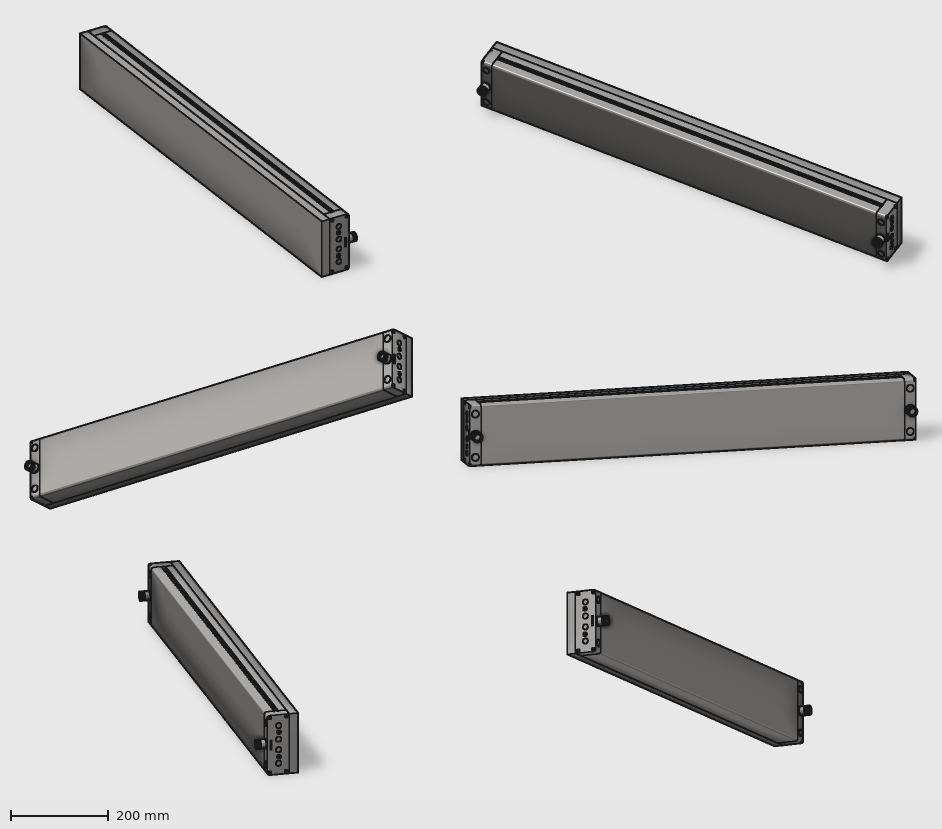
import cadquery as cq

length = 946.0
height = 130.0
mid_height = height / 2

panel_depth = 19.0

rear_face = 65.4
body_depth = rear_face - panel_depth
rear_edge_radius = 5.5

slot_width = 8.0
slot_centre = 40.0
lip_depth = 3.0
chamber_width = 14.0
chamber_depth = 6.0

cap_width = 24.0
profile_length = length - 2 * cap_width

connector_end = 86.2
connector_diameter = 20.0
base_ring_diameter = 20.6
base_ring_depth = 2.0
collar_length = 8.2
groove_count = 3
groove_width = 1.2
groove_depth = 0.6
bore_diameter = 14.0
bore_depth = 6.0

foot_diameter = 15.0
foot_depth = 1.5
foot_offset = 45.5

screw_front = 25.0
screw_rear = 60.0
screw_offset = 60.0
screw_head_diameter = 6.5
screw_head_depth = 3.0
screw_bore_diameter = 3.5
screw_bore_depth = 10.0

recess_line = 41.5
recess_depth = 1.0
recess_diameter = 11.5
outer_recess_offset = 41.0
inner_recess_offset = 11.4
pilot_line = 40.7
pilot_offset = 27.0
pilot_diameter = 8.5
pilot_bore_diameter = 4.0
pilot_bore_depth = 4.0

window_line = 57.5
window_width = 2.5
window_height = 20.0
window_depth = 1.0


def rear_block(start, width):
    """Block behind the panel with rounded top and bottom rear edges."""
    block = cq.Workplane("XY").box(width, body_depth, height, centered=False)
    block = block.edges("|X and >Y").fillet(rear_edge_radius)
    return block.translate((start, panel_depth, 0))


def rod_along_x(diameter, depth, y, z):
    """Rod from the plane X = 0 into the cap."""
    return cq.Workplane("YZ").center(y, z).circle(diameter / 2).extrude(depth)


def rod_along_y(diameter, start, end, z):
    """Rod running backwards on the middle of the cap."""
    rod = cq.Workplane("XZ").center(cap_width / 2, z).circle(diameter / 2).extrude(start - end)
    return rod.translate((0, start, 0))


def make_panel():
    """Plain slab across the whole front."""
    return cq.Workplane("XY").box(length, panel_depth, height, centered=False)


def make_profile():
    """Long body between the caps, with a T-slot along its top."""
    profile = rear_block(cap_width, profile_length)
    slot_plane = cq.Workplane("XY", origin=(length / 2, slot_centre, height))
    mouth = slot_plane.rect(profile_length, slot_width).extrude(-lip_depth)
    chamber = slot_plane.workplane(offset=-lip_depth).rect(profile_length, chamber_width).extrude(-chamber_depth)
    return profile.cut(mouth).cut(chamber)


def make_connector():
    """Round connector with a base ring, a grooved collar and an open end."""
    connector = rod_along_y(connector_diameter, rear_face, connector_end, mid_height)
    connector = connector.union(
        rod_along_y(base_ring_diameter, rear_face, rear_face + base_ring_depth, mid_height)
    )
    pitch = collar_length / groove_count
    for index in range(groove_count):
        start = connector_end - collar_length + index * pitch
        groove = rod_along_y(connector_diameter, start, start + groove_width, mid_height)
        core = rod_along_y(connector_diameter - 2 * groove_depth, start, start + groove_width, mid_height)
        connector = connector.cut(groove.cut(core))
    return connector.cut(rod_along_y(bore_diameter, connector_end - bore_depth, connector_end, mid_height))


def make_feet():
    """Two round feet, above and below the connector."""
    upper = rod_along_y(foot_diameter, rear_face, rear_face + foot_depth, mid_height + foot_offset)
    lower = rod_along_y(foot_diameter, rear_face, rear_face + foot_depth, mid_height - foot_offset)
    return upper, lower


def stepped_hole(wide_diameter, wide_depth, bore_size, bore_length, y, z):
    """Cutter for a shallow round recess with a narrower, deeper hole at its centre."""
    wide = rod_along_x(wide_diameter, wide_depth, y, z)
    return wide.union(rod_along_x(bore_size, bore_length, y, z))


def end_face_cutters():
    """Cutters for every hole and recess in the end face, in pairs about the middle height."""
    window = cq.Workplane("YZ").center(window_line, mid_height).rect(window_width, window_height)
    cutters = [window.extrude(window_depth)]
    for side in (-1, 1):
        screw_z = mid_height + side * screw_offset
        for y in (screw_front, screw_rear):
            cutters.append(stepped_hole(screw_head_diameter, screw_head_depth,
                                        screw_bore_diameter, screw_bore_depth, y, screw_z))
        for offset in (inner_recess_offset, outer_recess_offset):
            recess_z = mid_height + side * offset
            cutters.append(rod_along_x(recess_diameter, recess_depth, recess_line, recess_z))
        pilot_z = mid_height + side * pilot_offset
        cutters.append(stepped_hole(pilot_diameter, recess_depth,
                                    pilot_bore_diameter, pilot_bore_depth, pilot_line, pilot_z))
    return cutters


def make_cap(right_hand):
    """End cap with its connector and feet; the right-hand cap mirrors the left-hand one."""
    cap = rear_block(0, cap_width).union(make_connector())
    for foot in make_feet():
        cap = cap.union(foot)
    for cutter in end_face_cutters():
        cap = cap.cut(cutter)
    if right_hand:
        cap = cap.mirror("YZ").translate((length, 0, 0))
    return cap


panel = make_panel()
profile = make_profile()
caps = [make_cap(right_hand).val() for right_hand in (False, True)]

result = cq.Compound.makeCompound([panel.val(), profile.val(), *caps])